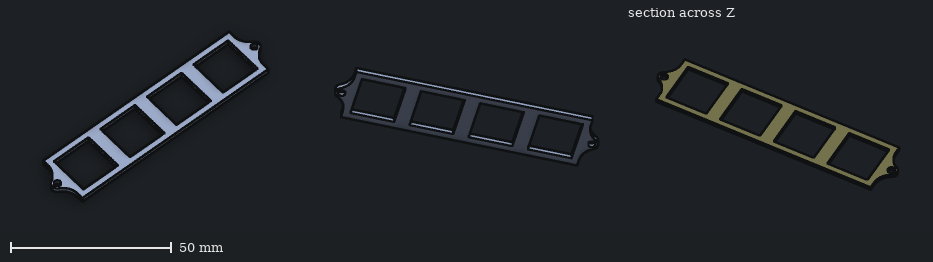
import cadquery as cq
import math

total_length = 84.4
width = 18.8
thickness = 2.0
window_count = 4
window_pitch = 19.0
window_size = 14.0
ear_hole_diameter = 2.2
ear_tip_radius = 2.0

frame_length = window_count * window_pitch
frame_end = frame_length / 2
ear_center = total_length / 2 - ear_tip_radius

flank_start = window_size / 2
hole_offset = ear_center - frame_end
flank_radius = (flank_start**2 + hole_offset**2 - ear_tip_radius**2) / (2 * (hole_offset + ear_tip_radius))
flank_center_y = frame_end + flank_radius

tip_angle = math.atan2(flank_center_y - ear_center, flank_start)
tip_x = ear_tip_radius * math.cos(tip_angle)
tip_y = ear_center + ear_tip_radius * math.sin(tip_angle)

flank_mid_angle = (tip_angle + math.pi / 2) / 2
flank_mid_x = flank_start - flank_radius * math.cos(flank_mid_angle)
flank_mid_y = flank_center_y - flank_radius * math.sin(flank_mid_angle)


def make_ear():
    """Flared mounting ear at the +Y end, with its screw hole."""
    outline = (
        cq.Workplane("XY")
        .moveTo(flank_start, frame_end)
        .threePointArc((flank_mid_x, flank_mid_y), (tip_x, tip_y))
        .threePointArc((0, total_length / 2), (-tip_x, tip_y))
        .threePointArc((-flank_mid_x, flank_mid_y), (-flank_start, frame_end))
        .close()
    )
    hole = cq.Workplane("XY").center(0, ear_center).circle(ear_hole_diameter / 2).extrude(thickness)
    return outline.extrude(thickness).cut(hole)


def make_frame():
    """Rectangular frame with a row of square through windows."""
    frame = cq.Workplane("XY").rect(width, frame_length).extrude(thickness)
    windows = (
        cq.Workplane("XY")
        .rarray(window_pitch, window_pitch, 1, window_count)
        .rect(window_size, window_size)
        .extrude(thickness)
    )
    return frame.cut(windows)


ear = make_ear()
result = make_frame().union(ear).union(ear.mirror("XZ"))